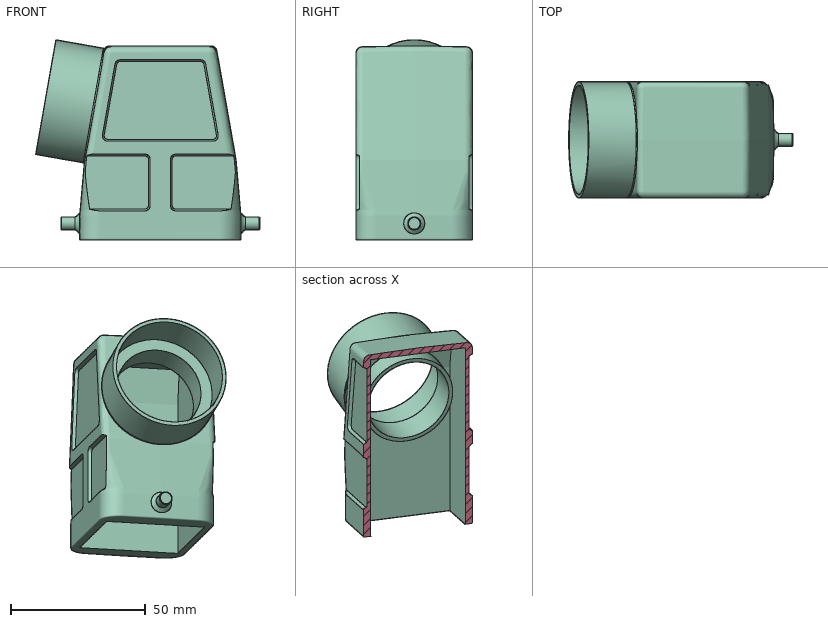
import cadquery as cq
import math

END_SLOPE = 10.0
DRAFT = 1.0
SLOPE_TAN = math.tan(math.radians(END_SLOPE))
DRAFT_TAN = math.tan(math.radians(DRAFT))

HALF_WIDTH = 21.7
BASE_HALF_LENGTH = 30.0
CREASE_HALF_LENGTH = 28.2
BASE_HEIGHT = 9.0
BLEND_HEIGHT = 11.0
BLEND_TOP = 25.3
CREASE_HEIGHT = 29.9
ROOF_HEIGHT = 72.15
BASE_CORNER = 7.5
UPPER_CORNER = 2.5
ROOF_FILLET = 2.4
FOOT_FILLET = 0.5
EDGE_TOLERANCE = 0.1

WALL = 2.5
SIDE_WALL = 2.9
CAVITY_KNEE_HEIGHT = 56.65

PANEL_DEPTH = 1.25
PANEL_TAPER = 28.0
PANEL_CORNER = 2.0
WINDOW_BOTTOM = 36.7
WINDOW_TOP = 67.0
WINDOW_BOTTOM_HALF = 21.9
GRIP_BOTTOM = 10.8
GRIP_TOP = 31.9
GRIP_INNER_X = 3.75
GRIP_OUTER_X = 37.5

PEG_HEIGHT = 6.2
PEG_DIAMETER = 4.8
PEG_TIP_X = 37.0
PEG_CHAMFER = 0.25
PEG_ROOT_DIAMETER = 7.8
PEG_NECK_DIAMETER = 5.5
PEG_CONE_END_X = 31.1
PEG_NECK_END_X = 31.65
PEG_START_X = 28.3

MOUTH_X = -42.6
MOUTH_Z = 53.1
COLLAR_DIAMETER = 43.3
COLLAR_BORE = 40.5
COLLAR_LENGTH = 17.9
COLLAR_BORE_DEPTH = 16.4
SPIGOT_DIAMETER = 35.0
SPIGOT_BORE = 32.0
SPIGOT_END = 28.3
SEAT_DIAMETER = 43.0
SEAT_DEPTH = 0.6


def end_wall_x(z):
    """Half length of the shell at height z, in the plane Y = 0."""
    if z <= BASE_HEIGHT:
        return BASE_HALF_LENGTH
    if z <= CREASE_HEIGHT:
        share = (z - BASE_HEIGHT) / (CREASE_HEIGHT - BASE_HEIGHT)
        return BASE_HALF_LENGTH + share * (CREASE_HALF_LENGTH - BASE_HALF_LENGTH)
    return CREASE_HALF_LENGTH - (z - CREASE_HEIGHT) * SLOPE_TAN


def shell_section(z, corner_radius):
    """Outline of the shell at height z: rounded corners, ends pointed by the draft."""
    middle = end_wall_x(z)
    corner = middle - HALF_WIDTH * DRAFT_TAN
    outline = cq.Wire.makePolygon(
        [
            cq.Vector(middle, 0, z),
            cq.Vector(corner, HALF_WIDTH, z),
            cq.Vector(-corner, HALF_WIDTH, z),
            cq.Vector(-middle, 0, z),
            cq.Vector(-corner, -HALF_WIDTH, z),
            cq.Vector(corner, -HALF_WIDTH, z),
        ],
        close=True,
    )
    corners = [vertex for vertex in outline.Vertices() if abs(vertex.Y) > EDGE_TOLERANCE]
    return outline.fillet2D(corner_radius, corners)


def is_roof_rim(edge, rim_height):
    """True for the edges around the roof, but not for the ridge between its two halves."""
    box = edge.BoundingBox()
    on_roof = box.zmin > rim_height - EDGE_TOLERANCE
    is_ridge = max(abs(box.ymin), abs(box.ymax)) < EDGE_TOLERANCE
    return on_roof and not is_ridge


def make_shell():
    """Solid outer shape of the hood, with rounded roof and foot."""
    sections = [
        shell_section(0, BASE_CORNER),
        shell_section(BASE_HEIGHT, BASE_CORNER),
        shell_section(BLEND_HEIGHT, BASE_CORNER),
        shell_section(BLEND_TOP, UPPER_CORNER),
        shell_section(CREASE_HEIGHT, UPPER_CORNER),
        shell_section(ROOF_HEIGHT, UPPER_CORNER),
    ]
    shell = cq.Workplane(cq.Solid.makeLoft(sections, True))
    roof_side = ROOF_HEIGHT - HALF_WIDTH * DRAFT_TAN
    below_roof = (
        cq.Workplane("YZ")
        .polyline(
            [
                (-HALF_WIDTH, 0),
                (HALF_WIDTH, 0),
                (HALF_WIDTH, roof_side),
                (0, ROOF_HEIGHT),
                (-HALF_WIDTH, roof_side),
            ]
        )
        .close()
        .extrude(BASE_HALF_LENGTH, both=True)
    )
    shell = shell.intersect(below_roof)
    roof_rim = [edge for edge in shell.edges().vals() if is_roof_rim(edge, roof_side)]
    shell = shell.newObject(roof_rim).fillet(ROOF_FILLET)
    return shell.faces("<Z").edges().fillet(FOOT_FILLET)


def make_cavity():
    """Inner space, open at the foot; its upper end walls run parallel to the outer ones."""
    wall_along_x = WALL / math.cos(math.radians(END_SLOPE))
    ceiling = ROOF_HEIGHT - WALL
    knee_x = end_wall_x(CAVITY_KNEE_HEIGHT) - wall_along_x
    ceiling_x = end_wall_x(ceiling) - wall_along_x
    return (
        cq.Workplane("XZ")
        .polyline(
            [
                (-knee_x, 0),
                (knee_x, 0),
                (knee_x, CAVITY_KNEE_HEIGHT),
                (ceiling_x, ceiling),
                (-ceiling_x, ceiling),
                (-knee_x, CAVITY_KNEE_HEIGHT),
            ]
        )
        .close()
        .extrude(HALF_WIDTH - SIDE_WALL, both=True)
    )


def panel_cutter(points):
    """Tool for one panel of the -Y side; its walls converge towards the floor."""
    sharp = cq.Wire.makePolygon([cq.Vector(x, -HALF_WIDTH, z) for x, z in points], close=True)
    outline = sharp.fillet2D(PANEL_CORNER, sharp.Vertices())
    return (
        cq.Workplane("XZ", origin=(0, -HALF_WIDTH, 0))
        .add(outline)
        .toPending()
        .extrude(-PANEL_DEPTH, taper=PANEL_TAPER)
    )


def make_panels():
    """Tools for the window and the two grips on each long side."""
    window_top_half = WINDOW_BOTTOM_HALF - (WINDOW_TOP - WINDOW_BOTTOM) * SLOPE_TAN
    window = [
        (-WINDOW_BOTTOM_HALF, WINDOW_BOTTOM),
        (WINDOW_BOTTOM_HALF, WINDOW_BOTTOM),
        (window_top_half, WINDOW_TOP),
        (-window_top_half, WINDOW_TOP),
    ]
    grip = [
        (GRIP_INNER_X, GRIP_BOTTOM),
        (GRIP_OUTER_X, GRIP_BOTTOM),
        (GRIP_OUTER_X, GRIP_TOP),
        (GRIP_INNER_X, GRIP_TOP),
    ]
    right_grip = panel_cutter(grip)
    near_side = [panel_cutter(window), right_grip, right_grip.mirror("YZ")]
    return near_side + [panel.mirror("XZ") for panel in near_side]


def make_peg():
    """Peg of the +X end wall with its conical root."""
    root = PEG_ROOT_DIAMETER / 2
    neck = PEG_NECK_DIAMETER / 2
    radius = PEG_DIAMETER / 2
    profile = [
        (PEG_START_X, 0),
        (PEG_START_X, root),
        (BASE_HALF_LENGTH, root),
        (PEG_CONE_END_X, neck),
        (PEG_NECK_END_X, radius),
        (PEG_TIP_X - PEG_CHAMFER, radius),
        (PEG_TIP_X, radius - PEG_CHAMFER),
        (PEG_TIP_X, 0),
    ]
    return (
        cq.Workplane("XY", origin=(0, 0, PEG_HEIGHT))
        .polyline(profile)
        .close()
        .revolve(360, (0, 0, 0), (1, 0, 0))
    )


def entry_cylinder(diameter, start, end):
    """Cylinder on the cable entry axis; start and end are distances from the mouth."""
    slope = math.radians(END_SLOPE)
    axis = cq.Vector(math.cos(slope), 0, -math.sin(slope))
    foot = cq.Vector(MOUTH_X, 0, MOUTH_Z) + axis * start
    return cq.Workplane(cq.Solid.makeCylinder(diameter / 2, end - start, foot, axis))


def make_housing():
    """Hollow shell with collar seat, sunk panels and the two pegs."""
    seat = entry_cylinder(SEAT_DIAMETER, COLLAR_LENGTH, COLLAR_LENGTH + SEAT_DEPTH)
    housing = make_shell().union(seat)
    housing = housing.cut(make_cavity())
    housing = housing.cut(entry_cylinder(SPIGOT_DIAMETER, COLLAR_LENGTH, SPIGOT_END))
    for panel in make_panels():
        housing = housing.cut(panel)
    peg = make_peg()
    return housing.union(peg).union(peg.rotate((0, 0, 0), (0, 0, 1), 180))


def make_collar():
    """Cable entry tube whose narrower spigot sits in the housing wall."""
    collar = entry_cylinder(COLLAR_DIAMETER, 0, COLLAR_LENGTH)
    collar = collar.union(entry_cylinder(SPIGOT_DIAMETER, COLLAR_LENGTH, SPIGOT_END))
    collar = collar.cut(entry_cylinder(COLLAR_BORE, 0, COLLAR_BORE_DEPTH))
    return collar.cut(entry_cylinder(SPIGOT_BORE, COLLAR_BORE_DEPTH, SPIGOT_END))


housing = make_housing()
collar = make_collar()
result = cq.Compound.makeCompound([housing.val(), collar.val()])